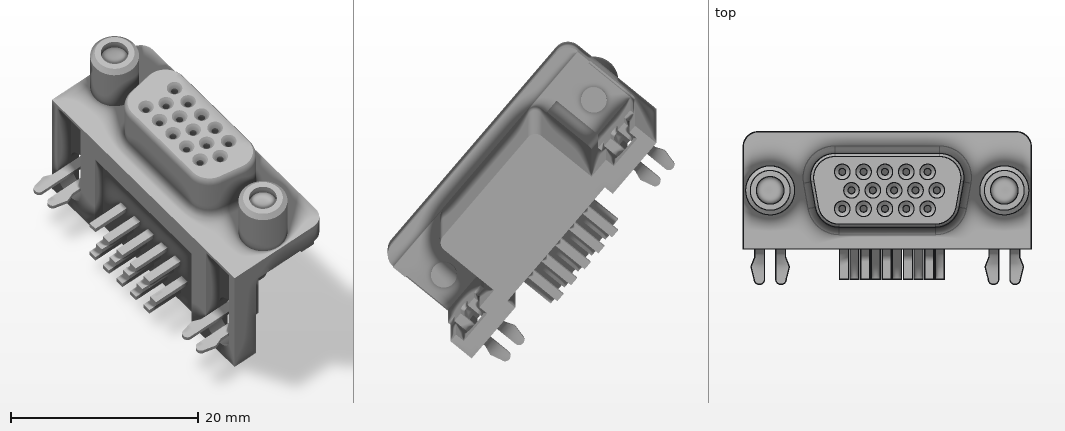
import cadquery as cq
import math

width = 30.8
half_depth = 6.28
plate_top = 15.8
plate_bottom = 13.12
total_height = 21.8
plate_corner_radius = 1.65

wall_back = -3.33
wall_corner_radius = 0.6
block_back = 4.65
block_half_width = 8.13
block_corner_radius = 1.05
pad_front = 2.95
pad_drop = 0.5

recess_half_width = 8.13
recess_height = 12.7
recess_depth = 1.1
channel_width = 3.9
channel_top = 15.37
channel_depth = 1.88
window_bottom = 1.65
window_top = 6.93

shell_half_height = 3.95
shell_corner_radius = 2.6
shell_top_center_x = 5.6
shell_side_angle = 10.0
foot_radius = 0.8
rim_height = 0.8
rim_radius = 1.15

columns = 5
contact_pitch_x = 2.28
contact_pitch_y = 1.97
outer_contact_shift = -0.25
middle_contact_shift = 0.75
contact_mouth_radius = 0.83
contact_radius = 0.37
contact_cone_depth = 0.55
contact_depth = 2.0
pin_pitch_z = 2.53
pin_middle_z = 4.35
pin_width = 1.0
pin_thickness = 0.62
pin_end = -9.52
outer_pin_shift = -0.05
middle_pin_shift = 1.05

screw_x = 12.5
screw_radius = 2.62
screw_chamfer = 0.5
screw_bore_radius = 1.48
screw_bore_depth = 1.0
screw_end_radius = 1.4
screw_end_drop = 0.35

lock_thickness = 0.5
lock_half_width = 2.68
lock_bottom = 4.07
lock_shoulder = 6.47
leg_half_width = 1.65
leg_gap_half = 0.6
leg_gap_top = 6.65
barb_half_width = 2.05
barb_start = -7.15
barb_peak = -8.15
tip_half_width = 1.72
tip_start = -9.5


def box(x0, x1, y0, y1, z0, z1):
    """Axis-aligned box between two corners."""
    return cq.Workplane("XY").box(x1 - x0, y1 - y0, z1 - z0, centered=False).translate((x0, y0, z0))


def make_body():
    """Plate, front wall with its recess, rear pads and rear block."""
    half = width / 2
    plate = box(-half, half, -half_depth, half_depth, plate_bottom, plate_top)
    plate = plate.edges("|Z and >Y").fillet(plate_corner_radius)
    wall = box(-half, half, -half_depth, wall_back, 0, plate_bottom)
    inner_corner = cq.selectors.NearestToPointSelector((0, wall_back, plate_bottom))
    angle = plate.union(wall).edges(inner_corner).fillet(wall_corner_radius)
    pads = box(-half, half, pad_front, block_back, plate_bottom - pad_drop, plate_bottom)
    block = box(-block_half_width, block_half_width, wall_back, block_back, 0, plate_bottom)
    block = block.edges("|Z and >Y").fillet(block_corner_radius)
    recess_floor = recess_depth - half_depth
    recess = box(-recess_half_width, recess_half_width, -half_depth, recess_floor, 0, recess_height)
    return angle.union(pads).union(block).cut(recess)


def make_channel(x):
    """Round-bottomed channel in the front wall, with a round-topped window behind its lower end.

    The window runs down to the underside of the wall behind the channel floor.
    """
    radius = channel_width / 2
    bottom_center = window_bottom + radius
    top_center = window_top - radius
    floor_y = channel_depth - half_depth
    front = cq.Workplane("XZ", origin=(x, -half_depth, 0))
    channel = (
        front.moveTo(-radius, channel_top)
        .lineTo(-radius, bottom_center)
        .threePointArc((0, window_bottom), (radius, bottom_center))
        .lineTo(radius, channel_top)
        .close()
        .extrude(-channel_depth)
    )
    window = (
        front.moveTo(-radius, 0)
        .lineTo(-radius, top_center)
        .threePointArc((0, window_top), (radius, top_center))
        .lineTo(radius, 0)
        .close()
        .extrude(-(wall_back + half_depth))
        .cut(box(-radius, radius, -half_depth, floor_y, 0, bottom_center).translate((x, 0, 0)))
    )
    return channel.union(window)


def shell_outline():
    """D-shaped outline of the shell on top of the plate."""
    center_y = shell_half_height - shell_corner_radius
    bottom_center_x = shell_top_center_x - 2 * center_y * math.tan(math.radians(shell_side_angle))
    centers = [
        (-shell_top_center_x, center_y),
        (shell_top_center_x, center_y),
        (bottom_center_x, -center_y),
        (-bottom_center_x, -center_y),
    ]
    base = cq.Workplane("XY", origin=(0, 0, plate_top))
    return base.polyline(centers).close().offset2D(shell_corner_radius)


def add_shell(body):
    """Add the shell; the flat top cuts its rim rounding short, and a fillet blends it into the plate."""
    foot_half_height = shell_half_height + foot_radius
    full_height = total_height - rim_height + rim_radius
    shell = shell_outline().extrude(full_height - plate_top).faces(">Z").edges().fillet(rim_radius)
    shell = shell.cut(box(-screw_x, screw_x, -half_depth, half_depth, total_height, full_height))
    foot_zone = cq.selectors.BoxSelector(
        (-screw_x, -foot_half_height, plate_top - foot_radius),
        (screw_x, foot_half_height, plate_top + foot_radius),
    )
    return body.union(shell).edges(foot_zone).fillet(foot_radius)


def make_contact(x, y):
    """Round contact hole with a conical mouth, as a cutter."""
    top = total_height
    return (
        cq.Workplane("XZ")
        .moveTo(0, top)
        .lineTo(contact_mouth_radius, top)
        .lineTo(contact_radius, top - contact_cone_depth)
        .lineTo(contact_radius, top - contact_depth)
        .lineTo(0, top - contact_depth)
        .close()
        .revolve(360, (0, 0, 0), (0, 1, 0))
        .translate((x, y, 0))
    )


def make_pin(x, z):
    """Rectangular solder pin reaching forward out of the front wall."""
    half_w = pin_width / 2
    half_t = pin_thickness / 2
    return box(x - half_w, x + half_w, pin_end, wall_back, z - half_t, z + half_t)


def make_screw(x):
    """Bored jack screw above the plate, with its end showing below the lock strip."""
    end = plate_bottom - lock_thickness - screw_end_drop
    post = (
        cq.Workplane("XY", origin=(x, 0, plate_top))
        .circle(screw_radius)
        .extrude(total_height - plate_top)
        .faces(">Z")
        .chamfer(screw_chamfer)
        .faces(">Z")
        .workplane()
        .hole(2 * screw_bore_radius, screw_bore_depth)
    )
    stub = cq.Workplane("XY", origin=(x, 0, end)).circle(screw_end_radius).extrude(plate_bottom - end)
    return post.union(stub)


def make_leg():
    """One barbed leg with a round tip, on the +X side of its board lock."""
    tip_radius = (tip_half_width - leg_gap_half) / 2
    return (
        cq.Workplane("XY", origin=(0, 0, lock_bottom))
        .moveTo(leg_gap_half, wall_back)
        .lineTo(leg_half_width, wall_back)
        .lineTo(leg_half_width, barb_start)
        .lineTo(barb_half_width, barb_peak)
        .lineTo(tip_half_width, tip_start)
        .threePointArc((leg_gap_half + tip_radius, tip_start - tip_radius), (leg_gap_half, tip_start))
        .close()
        .extrude(lock_thickness)
    )


def make_lock(x):
    """Bent strip under the plate and down the wall, ending in two forward legs."""
    back = wall_back + lock_thickness
    underside = plate_bottom - lock_thickness
    flat = box(-lock_half_width, lock_half_width, wall_back, pad_front, underside, plate_bottom)
    upright = box(-lock_half_width, lock_half_width, wall_back, back, lock_shoulder, plate_bottom)
    strip = flat.union(upright)
    narrow = box(-leg_half_width, leg_half_width, wall_back, back, lock_bottom, lock_shoulder)
    gap_center = leg_gap_top - leg_gap_half
    gap = box(-leg_gap_half, leg_gap_half, wall_back, back, lock_bottom, gap_center)
    gap_plane = cq.Workplane("XZ", origin=(0, wall_back, gap_center))
    gap_end = gap_plane.circle(leg_gap_half).extrude(-lock_thickness)
    leg = make_leg()
    lock = strip.union(narrow).cut(gap).cut(gap_end).union(leg).union(leg.mirror("YZ"))
    return lock.translate((x, 0, 0))


result = add_shell(make_body())

for side in (-1, 1):
    result = result.cut(make_channel(side * screw_x))
    result = result.union(make_screw(side * screw_x))
    result = result.union(make_lock(side * screw_x))

for row in (-1, 0, 1):
    contact_shift = middle_contact_shift if row == 0 else outer_contact_shift
    pin_shift = middle_pin_shift if row == 0 else outer_pin_shift
    for column in range(columns):
        column_x = (column - (columns - 1) / 2) * contact_pitch_x
        result = result.cut(make_contact(column_x + contact_shift, row * contact_pitch_y))
        result = result.union(make_pin(column_x + pin_shift, pin_middle_z + row * pin_pitch_z))